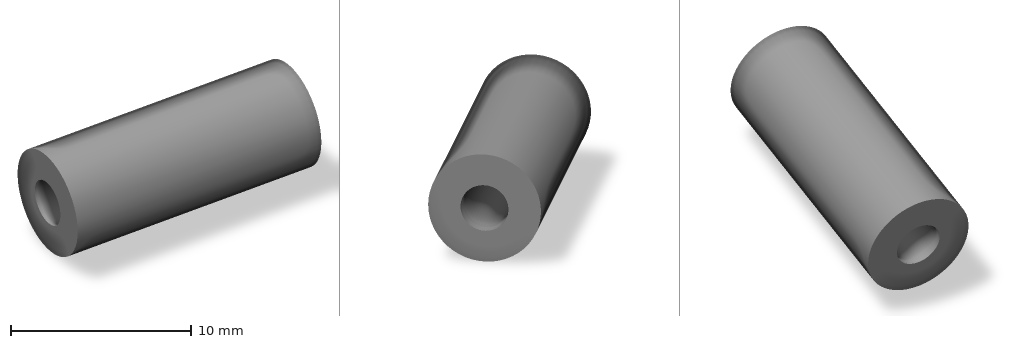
import cadquery as cq

length = 15.88
outer_diameter = 6.35
bore_diameter = 2.7

result = (
    cq.Workplane("XZ", origin=(0, length / 2, 0))
    .circle(outer_diameter / 2)
    .circle(bore_diameter / 2)
    .extrude(length)
)